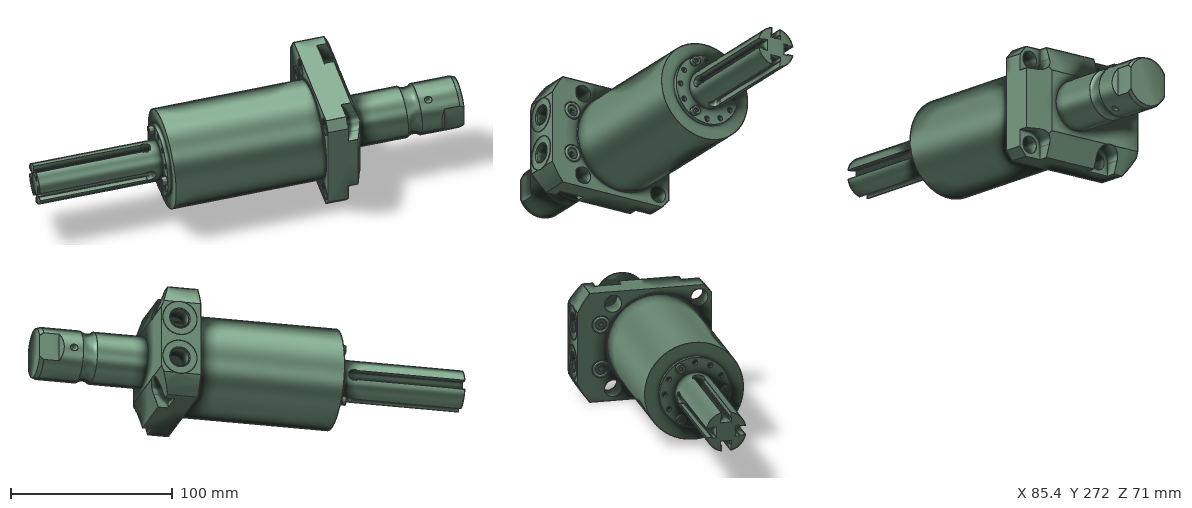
import cadquery as cq
import math


total_length = 272.0
rod_length = 68.5
flange_thickness = 25.0
barrel_length = 96.5
gland_thickness = 2.7
shaft_length = total_length - rod_length - flange_thickness - barrel_length - gland_thickness
barrel_end = -barrel_length
gland_end = barrel_end - gland_thickness
shaft_end = gland_end - shaft_length
rod_end = flange_thickness + rod_length

flange_left = 50.0
flange_right = 35.4
flange_height = 71.0
flange_half_height = flange_height / 2
left_corner_radius = 55.2
right_corner_width = 5.0
right_corner_height = 5.7
bevel_start = 19.5
bevel_angle = 20.0

bolt_spacing = 55.0
bolt_hole_diameter = 11.0
counterbore_diameter = 16.5
counterbore_floor = 13.0

port_height = 12.8
port_setback = 13.3
port_diameter = 11.7
port_mouth_diameter = 13.0
port_depth = 15.0
spotface_diameter = 21.8
spotface_depth = 0.3
passage_x = flange_left - port_depth
passage_height = 14.5
passage_diameter = 3.0
seal_diameter = 11.0
seal_section = 2.0
seal_recess_diameter = 11.5
seal_recess_depth = 1.0

barrel_diameter = 63.0
barrel_root_bevel = 0.5
gland_diameter = 45.1
screw_circle_radius = 19.3
screw_positions = 12
screw_spacing = 4
screw_head_diameter = 5.5
screw_head_height = 3.3
socket_width = 2.5
socket_depth = 1.4
gland_hole_diameter = 3.3

shaft_diameter = 25.5
slot_count = 4
slot_width = 6.0
slot_undercut_width = 7.0
slot_floor_radius = 6.0
slot_undercut_radius = 8.7
slot_end_from_gland = 8.5

rod_diameter = 32.5
rod_radius = rod_diameter / 2
rod_tip_radius = 15.2
rod_tip_length = 2.7
flat_half_width = 13.5
flat_length = 12.5
groove_near = 27.5
groove_far = 36.5
groove_depth = 1.5
dimple_count = 3
dimple_from_end = 21.5
dimple_diameter = 4.5


def cylinder_along_y(diameter, start, end, x=0.0, z=0.0):
    """Cylinder parallel to Y, running from start to end."""
    base = cq.Plane(origin=(x, start, z), xDir=(1, 0, 0), normal=(0, 1, 0))
    return cq.Workplane(base).circle(diameter / 2).extrude(end - start)


def box_between(x0, x1, y0, y1, z0, z1):
    """Box given by its limits on each axis."""
    return cq.Workplane("XY").box(x1 - x0, y1 - y0, z1 - z0, centered=False).translate((x0, y0, z0))


def turned_around_y(angle, shape):
    return shape.rotate((0, 0, 0), (0, 1, 0), angle)


def flange_outline():
    """Flange plate: left corners rounded about the cylinder axis, right corners cut off."""
    left_edge_z = math.sqrt(left_corner_radius**2 - flange_left**2)
    top_edge_x = -math.sqrt(left_corner_radius**2 - flange_half_height**2)
    arc_angle = (math.atan2(left_edge_z, -flange_left) + math.atan2(flange_half_height, top_edge_x)) / 2
    arc_x = left_corner_radius * math.cos(arc_angle)
    arc_z = left_corner_radius * math.sin(arc_angle)
    corner_x = flange_right - right_corner_width
    corner_z = flange_half_height - right_corner_height
    return (
        cq.Workplane("XZ")
        .moveTo(-flange_left, -left_edge_z)
        .lineTo(-flange_left, left_edge_z)
        .threePointArc((arc_x, arc_z), (top_edge_x, flange_half_height))
        .lineTo(corner_x, flange_half_height)
        .lineTo(flange_right, corner_z)
        .lineTo(flange_right, -corner_z)
        .lineTo(corner_x, -flange_half_height)
        .lineTo(top_edge_x, -flange_half_height)
        .threePointArc((arc_x, -arc_z), (-flange_left, -left_edge_z))
        .close()
        .extrude(-flange_thickness)
    )


def bevel_wedge():
    """Material removed by the sloped face on the +X side of the flange back."""
    reach = 2 * flange_left
    drop = (reach - bevel_start) * math.tan(math.radians(bevel_angle))
    return (
        cq.Workplane("XY")
        .moveTo(bevel_start, flange_thickness)
        .lineTo(reach, flange_thickness)
        .lineTo(reach, flange_thickness - drop)
        .close()
        .extrude(reach, both=True)
    )


def counterbore(side_x, side_z):
    """Bolt head recess, open at the nearby edge, and on the right also at the side."""
    x = side_x * bolt_spacing / 2
    z = bolt_spacing / 2
    radius = counterbore_diameter / 2
    beyond = 2 * flange_left
    recess = cylinder_along_y(counterbore_diameter, counterbore_floor, flange_thickness, x, z)
    recess = recess.union(
        box_between(x - radius, x + radius, counterbore_floor, flange_thickness, z, beyond)
    )
    if side_x > 0:
        recess = recess.union(
            box_between(x, beyond, counterbore_floor, flange_thickness, z - radius, beyond)
        )
    return recess if side_z > 0 else recess.mirror("XY")


def oil_port(side_z):
    """Side port with its spotface, and the passage leading to the sealed front face."""
    plane = cq.Plane(
        origin=(-flange_left, port_setback, side_z * port_height), xDir=(0, 1, 0), normal=(1, 0, 0)
    )
    mouth_bevel = (port_mouth_diameter - port_diameter) / 2
    port = cq.Workplane(plane).circle(port_diameter / 2).extrude(port_depth)
    mouth = (
        cq.Workplane(plane)
        .workplane(offset=spotface_depth)
        .circle(port_mouth_diameter / 2)
        .workplane(offset=mouth_bevel)
        .circle(port_diameter / 2)
        .loft(ruled=True)
    )
    spotface = cq.Workplane(plane).circle(spotface_diameter / 2).extrude(spotface_depth)
    z = side_z * passage_height
    passage = cylinder_along_y(passage_diameter, 0, port_setback, -passage_x, z)
    recess = cylinder_along_y(seal_recess_diameter, 0, seal_recess_depth, -passage_x, z)
    return port.union(mouth).union(spotface).union(passage).union(recess)


def make_flange():
    flange = flange_outline()
    for angle in (-90, 0, 90):
        flange = flange.cut(turned_around_y(angle, bevel_wedge()))
    for side_z in (-1, 1):
        for side_x in (-1, 1):
            x = side_x * bolt_spacing / 2
            z = side_z * bolt_spacing / 2
            flange = flange.cut(cylinder_along_y(bolt_hole_diameter, 0, flange_thickness, x, z))
            flange = flange.cut(counterbore(side_x, side_z))
        flange = flange.cut(oil_port(side_z))
    return flange


def screw_head():
    """Socket head at the first position on the screw circle."""
    front = gland_end - screw_head_height
    head = cylinder_along_y(screw_head_diameter, front, gland_end, screw_circle_radius)
    plane = cq.Plane(origin=(screw_circle_radius, front, 0), xDir=(1, 0, 0), normal=(0, 1, 0))
    socket_across_corners = socket_width / math.cos(math.pi / 6)
    return head.cut(cq.Workplane(plane).polygon(6, socket_across_corners).extrude(socket_depth))


def barrel_root():
    """Short conical step where the barrel meets the flange."""
    radius = barrel_diameter / 2
    cone = cq.Solid.makeCone(
        radius + barrel_root_bevel, radius, barrel_root_bevel,
        pnt=cq.Vector(0, 0, 0), dir=cq.Vector(0, -1, 0),
    )
    return cq.Workplane(obj=cone)


def make_barrel():
    """Barrel with the gland on its front; every fourth gland hole is filled by a screw."""
    barrel = cylinder_along_y(barrel_diameter, barrel_end, 0)
    barrel = barrel.union(barrel_root())
    barrel = barrel.union(cylinder_along_y(gland_diameter, gland_end, barrel_end))
    hole = cylinder_along_y(gland_hole_diameter, gland_end, barrel_end, screw_circle_radius)
    for position in range(screw_positions):
        angle = position * 360 / screw_positions
        if position % screw_spacing == 0:
            barrel = barrel.union(turned_around_y(angle, screw_head()))
        else:
            barrel = barrel.cut(turned_around_y(angle, hole))
    return barrel


def shaft_slot():
    """Slot on the +Z side, wider at its floor, ending in a round hole."""
    end = gland_end - slot_end_from_gland
    outside = shaft_diameter
    opening = box_between(-slot_width / 2, slot_width / 2, shaft_end, end, slot_floor_radius, outside)
    undercut = box_between(
        -slot_undercut_width / 2, slot_undercut_width / 2, shaft_end, end,
        slot_floor_radius, slot_undercut_radius,
    )
    round_end = (
        cq.Workplane("XY", origin=(0, end, slot_floor_radius))
        .circle(slot_undercut_width / 2)
        .extrude(outside)
    )
    return opening.union(undercut).union(round_end)


def make_shaft():
    shaft = cylinder_along_y(shaft_diameter, shaft_end, gland_end)
    for index in range(slot_count):
        shaft = shaft.cut(turned_around_y(index * 360 / slot_count, shaft_slot()))
    return shaft


def rod_flat():
    """Wrench flat on the +X side, running out at 45 degrees."""
    flat_end = rod_end - flat_length
    beyond = 2 * rod_radius
    return (
        cq.Workplane("XY")
        .moveTo(flat_half_width, rod_end)
        .lineTo(flat_half_width, flat_end)
        .lineTo(beyond, flat_end - (beyond - flat_half_width))
        .lineTo(beyond, rod_end)
        .close()
        .extrude(beyond, both=True)
    )


def dimple():
    """Conical dimple on the -X side of the rod."""
    radius = dimple_diameter / 2
    cone = cq.Solid.makeCone(
        radius, 0, radius,
        pnt=cq.Vector(-rod_radius, rod_end - dimple_from_end, 0), dir=cq.Vector(1, 0, 0),
    )
    return cq.Workplane(obj=cone)


def make_rod():
    groove_middle = (groove_near + groove_far) / 2
    rod = (
        cq.Workplane("XY")
        .moveTo(0, flange_thickness)
        .lineTo(rod_radius, flange_thickness)
        .lineTo(rod_radius, rod_end - groove_far)
        .threePointArc(
            (rod_radius - groove_depth, rod_end - groove_middle), (rod_radius, rod_end - groove_near)
        )
        .lineTo(rod_radius, rod_end - rod_tip_length)
        .lineTo(rod_tip_radius, rod_end)
        .lineTo(0, rod_end)
        .close()
        .revolve(360, (0, 0, 0), (0, 1, 0))
    )
    rod = rod.cut(rod_flat()).cut(rod_flat().mirror("YZ"))
    for index in range(dimple_count):
        rod = rod.cut(turned_around_y(index * 360 / dimple_count, dimple()))
    return rod


def make_seal(side_z):
    """O-ring resting on the floor of its recess and standing proud of the flange face."""
    center = cq.Vector(-passage_x, seal_recess_depth - seal_section / 2, side_z * passage_height)
    ring_radius = (seal_diameter - seal_section) / 2
    return cq.Solid.makeTorus(ring_radius, seal_section / 2, center, cq.Vector(0, 1, 0))


cylinder_body = make_flange().union(make_barrel()).union(make_shaft()).union(make_rod())
seals = [make_seal(side_z) for side_z in (-1, 1)]

result = cq.Compound.makeCompound([cylinder_body.solids().val(), *seals])